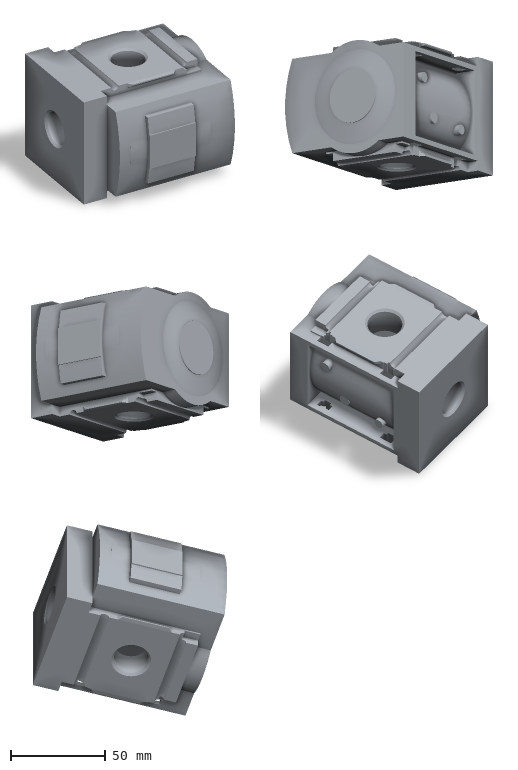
import cadquery as cq


body_width = 62.0
half_width = body_width / 2
head_length = 14.1
core_end = head_length + body_width
core_mid = head_length + half_width
shoulder_z = 25.7
pad_half_x = 24.4

port_diameter = 18.7
port_chamfer = 1.2
port_depth = 15.7

groove_radius = 2.35
groove_lift = 0.3
groove_spacing = 44.2

corner_half_x = 20.05
corner_floor_z = 26.7

lug_reach = 2.3
lug_root_length = 29.8
lug_tip_length = lug_root_length - 2 * lug_reach
lug_tip_top_z = 30.7
lug_tip_bottom_z = 30.0
lug_root_bottom_z = 27.6
lug_fillet = 1.7

window_length = 56.25
window_half_z = 23.0
window_floor_x = -19.9
drum_radius = 28.8
drum_half_z = 20.75
relief_radius = (window_half_z - drum_half_z) / 2

pins = [
    (62.8, 11.1, 5.5, -29.65),
    (51.2, -8.6, 6.1, -28.2),
    (27.6, -11.0, 5.5, -29.65),
]

slot_outer_x = -27.8
slot_step_x = -24.0
slot_inner_x = -22.6
slot_wide = 7.3
slot_narrow = 4.1
slots = [(65.7, 65.9), (24.6, 24.3)]

rear_face = 84.8
bulge_half_x = 15.1
bulge_z = 30.7
dome_edge_y = 86.6
disc_diameter = 29.0
total_length = 87.2

total_width = 78.5
cover_edge_x = 40.3
cover_crown_x = 44.9
panel_length = 49.2
panel_crown_x = 45.3
panel_half_z = 7.0
button_length = 28.25
button_half_z = 20.05
button_edge_x = 45.3
button_crown_x = 47.3
button_pad_half_z = 10.1
right_end = total_width - half_width


def box(x0, x1, y0, y1, z0, z1):
    """Block between two opposite corners."""
    return cq.Workplane("XY").box(x1 - x0, y1 - y0, z1 - z0, centered=False).translate((x0, y0, z0))


def rod_x(x0, x1, y, z, radius):
    """Cylinder along X from x0 to x1."""
    return cq.Workplane("YZ", origin=(x0, y, z)).circle(radius).extrude(x1 - x0)


def along_y(outline, y0, y1):
    """Extrude an outline drawn in x and z from y0 to y1."""
    return outline.extrude(y0 - y1).translate((0, y0, 0))


def with_mirror(shape, plane):
    """Join a shape with its mirror image."""
    return shape.union(shape.mirror(plane))


def crowned_block(root_x, edge_x, crown_x, half_z, y0, y1):
    """Block whose +X side is an arc, highest at mid height."""
    outline = (
        cq.Workplane("XZ")
        .moveTo(root_x, -half_z)
        .lineTo(edge_x, -half_z)
        .threePointArc((crown_x, 0), (edge_x, half_z))
        .lineTo(root_x, half_z)
        .close()
    )
    return along_y(outline, y0, y1)


def crown_height(edge_x, crown_x, half_z, z):
    """X of the arc through (crown_x, 0) and (edge_x, half_z) at height z."""
    sagitta = crown_x - edge_x
    radius = (half_z ** 2 + sagitta ** 2) / (2 * sagitta)
    return crown_x - radius + (radius ** 2 - z ** 2) ** 0.5


def make_lugs():
    """Four bevelled lugs, on both sides of the upper and lower pads."""
    tip_x = pad_half_x + lug_reach
    hollow_x = pad_half_x + lug_fillet
    hollow_top_z = lug_root_bottom_z + lug_fillet
    profile = (
        cq.Workplane("XZ")
        .moveTo(0, half_width)
        .lineTo(pad_half_x, half_width)
        .lineTo(tip_x, lug_tip_top_z)
        .lineTo(tip_x, lug_tip_bottom_z)
        .lineTo(hollow_x, hollow_top_z)
        .radiusArc((pad_half_x, lug_root_bottom_z), -lug_fillet)
        .lineTo(0, lug_root_bottom_z)
        .close()
    )
    root = lug_root_length / 2
    tip = lug_tip_length / 2
    plan = (
        cq.Workplane("XY")
        .moveTo(0, -root)
        .lineTo(pad_half_x, -root)
        .lineTo(tip_x, -tip)
        .lineTo(tip_x, tip)
        .lineTo(pad_half_x, root)
        .lineTo(0, root)
        .close()
        .extrude(half_width)
    )
    lug = along_y(profile, -root, root).intersect(plan).translate((0, core_mid, 0))
    return with_mirror(with_mirror(lug, "YZ"), "XY")


def make_body():
    """Head, core, pads and lugs, with the grooves and lowered corners cut."""
    body = box(-half_width, half_width, 0, head_length, -half_width, half_width)
    body = body.union(box(-half_width, half_width, head_length, core_end, -shoulder_z, shoulder_z))
    body = body.union(box(-pad_half_x, pad_half_x, head_length, core_end, -half_width, half_width))
    body = body.union(make_lugs())

    rear_groove_y = core_mid + groove_spacing / 2
    for y in (core_mid - groove_spacing / 2, rear_groove_y):
        groove = rod_x(-pad_half_x, pad_half_x, y, half_width + groove_lift, groove_radius)
        body = body.cut(with_mirror(groove, "XY"))

    corner = box(corner_half_x, pad_half_x, rear_groove_y, core_end, corner_floor_z, half_width)
    return body.cut(with_mirror(with_mirror(corner, "YZ"), "XY"))


def make_rear_cover():
    """Plate with round bulges above and below and a domed rear face."""
    cover = box(-half_width, cover_edge_x, core_end, rear_face, -shoulder_z, shoulder_z)
    bulge = (
        cq.Workplane("XZ")
        .moveTo(-bulge_half_x, 0)
        .lineTo(-bulge_half_x, shoulder_z)
        .threePointArc((0, bulge_z), (bulge_half_x, shoulder_z))
        .lineTo(bulge_half_x, 0)
        .close()
    )
    cover = cover.union(with_mirror(along_y(bulge, core_end, rear_face), "XY"))
    dome = (
        cq.Workplane("XY")
        .moveTo(0, core_end)
        .lineTo(shoulder_z, core_end)
        .lineTo(shoulder_z, rear_face)
        .lineTo(disc_diameter / 2, dome_edge_y)
        .lineTo(disc_diameter / 2, total_length)
        .lineTo(0, total_length)
        .close()
        .revolve(360, (0, 0, 0), (0, 1, 0))
    )
    return cover.union(dome)


def make_side_cover():
    """Crowned cover on +X with a thin raised panel and a flat-topped button."""
    cover = crowned_block(pad_half_x, cover_edge_x, cover_crown_x, shoulder_z, head_length, rear_face)
    panel_edge_x = crown_height(cover_edge_x, cover_crown_x, shoulder_z, panel_half_z)
    panel = crowned_block(
        pad_half_x, panel_edge_x, panel_crown_x, panel_half_z,
        core_mid - panel_length / 2, core_mid + panel_length / 2,
    )
    button = crowned_block(
        pad_half_x, button_edge_x, button_crown_x, button_half_z,
        core_mid - button_length / 2, core_mid + button_length / 2,
    )
    button_pad = box(
        pad_half_x, right_end, core_mid - button_length / 2, core_mid + button_length / 2,
        -button_pad_half_z, button_pad_half_z,
    )
    return cover.union(panel).union(button).union(button_pad)


def make_port():
    """Chamfered blind hole, opening at z = 0 and going down."""
    radius = port_diameter / 2
    return (
        cq.Workplane("XZ")
        .moveTo(0, 0)
        .lineTo(radius + port_chamfer, 0)
        .lineTo(radius, -port_chamfer)
        .lineTo(radius, -port_depth)
        .lineTo(0, -port_depth)
        .close()
        .revolve(360, (0, 0, 0), (0, 1, 0))
    )


def make_window():
    """Side recess that leaves the front of the drum standing inside."""
    y0 = core_mid - window_length / 2
    y1 = core_mid + window_length / 2
    recess = box(-half_width, window_floor_x, y0, y1, -window_half_z, window_half_z)
    drum = along_y(cq.Workplane("XZ").circle(drum_radius), y0, y1)
    drum = drum.intersect(box(-drum_radius, 0, y0, y1, -drum_half_z, drum_half_z))
    relief_z = drum_half_z + relief_radius
    relief = along_y(cq.Workplane("XZ").center(window_floor_x, relief_z).circle(relief_radius), y0, y1)
    return recess.cut(drum).union(with_mirror(relief, "XY"))


def make_slot(wide_y, narrow_y):
    """T-shaped slot running the whole height of the body."""
    wide = box(
        slot_outer_x, slot_step_x, wide_y - slot_wide / 2, wide_y + slot_wide / 2, window_half_z, half_width
    )
    narrow = box(
        slot_step_x, slot_inner_x, narrow_y - slot_narrow / 2, narrow_y + slot_narrow / 2,
        window_half_z, half_width,
    )
    return with_mirror(wide.union(narrow), "XY")


result = make_body().union(make_rear_cover()).union(make_side_cover())

top_port = make_port().translate((0, core_mid, half_width))
front_port = make_port().rotate((0, 0, 0), (1, 0, 0), 90)
result = result.cut(with_mirror(top_port, "XY")).cut(front_port)

result = result.cut(make_window())
for wide_y, narrow_y in slots:
    result = result.cut(make_slot(wide_y, narrow_y))
for pin_y, pin_z, pin_diameter, pin_face_x in pins:
    result = result.union(rod_x(pin_face_x, window_floor_x, pin_y, pin_z, pin_diameter / 2))